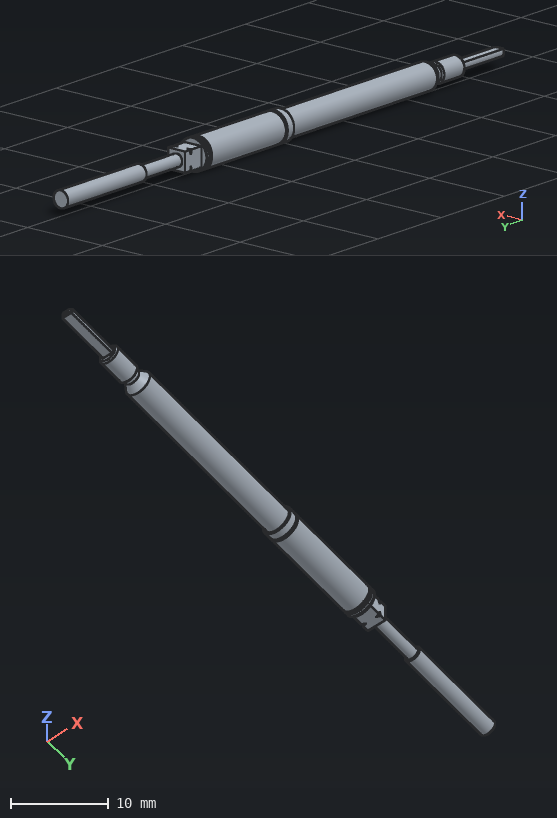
import cadquery as cq

PIN_END = 6.75
PLUNGER_END = 10.15
NECK_START = 10.3
NECK_END = 10.8
BARREL_START = 11.75
COLLAR_START = 34.7
COLLAR_END = 48.6
BLOCK_END = 51.15
WIRE_END = 57.05
TOTAL_LENGTH = 69.5

PIN_DIAMETER = 1.4
PIN_THICKNESS = 0.75
PLUNGER_DIAMETER = 2.35
NECK_DIAMETER = 1.9
BARREL_DIAMETER = 3.1
COLLAR_DIAMETER = 3.6
BLOCK_WIDTH = 2.3
WIRE_DIAMETER = 1.45
SLEEVE_DIAMETER = 1.95

PIN_CHAMFER = 0.15
PIN_CUP_DIAMETER = 0.4
PIN_CUP_DEPTH = 0.15
PLUNGER_CHAMFER = 0.2

RING_GROOVE_CENTER = 35.8
RING_GROOVE_WIDTH = 0.2
RING_GROOVE_DEPTH = 0.1
FLANGE_THICKNESS = 0.15
FLANGE_CONE_LENGTH = 0.35
FLANGE_CONE_DEPTH = 0.5
RIDGE_THICKNESS = 0.15
END_GROOVE_WIDTH = 0.3
END_GROOVE_DEPTH = 0.2

BLOCK_GROOVE_DIAMETER = 2.65
BLOCK_GROOVE_CENTER = 50.25
BLOCK_GROOVE_WIDTH = 1.0


def revolve(profile):
    """Turn (radius, y) points about the Y axis."""
    outline = [(y, radius) for radius, y in profile]
    return cq.Workplane("YZ").polyline(outline).close().revolve(360, (0, 0, 0), (1, 0, 0))


def rod(diameter, start, end):
    """Plain cylinder along Y."""
    radius = diameter / 2
    return revolve([(0, start), (radius, start), (radius, end), (0, end)])


def make_pin():
    """Round pin with a chamfered, cupped tip and two flats facing up and down."""
    pin = rod(PIN_DIAMETER, 0, PIN_END).faces("<Y").chamfer(PIN_CHAMFER)
    flats = cq.Workplane("XY").box(PIN_DIAMETER, 2 * PIN_END, PIN_THICKNESS)
    cup = revolve([(0, 0), (PIN_CUP_DIAMETER / 2, 0), (0, PIN_CUP_DEPTH)])
    return pin.intersect(flats).cut(cup)


def make_plunger_and_barrel():
    """Chamfered plunger, narrow neck, conical shoulder and long barrel."""
    plunger = PLUNGER_DIAMETER / 2
    neck = NECK_DIAMETER / 2
    barrel = BARREL_DIAMETER / 2
    return revolve([
        (0, PIN_END),
        (plunger - PLUNGER_CHAMFER, PIN_END),
        (plunger, PIN_END + PLUNGER_CHAMFER),
        (plunger, PLUNGER_END),
        (neck, NECK_START),
        (neck, NECK_END),
        (barrel, BARREL_START),
        (barrel, COLLAR_START),
        (0, COLLAR_START),
    ])


def make_collar():
    """Collar with a shallow ring groove, an end groove and an undercut flange."""
    outer = COLLAR_DIAMETER / 2
    ring_floor = outer - RING_GROOVE_DEPTH
    end_floor = outer - END_GROOVE_DEPTH
    ring_start = RING_GROOVE_CENTER - RING_GROOVE_WIDTH / 2
    ring_end = RING_GROOVE_CENTER + RING_GROOVE_WIDTH / 2
    flange_start = COLLAR_END - FLANGE_THICKNESS
    ridge_end = flange_start - FLANGE_CONE_LENGTH
    ridge_start = ridge_end - RIDGE_THICKNESS
    end_groove_start = ridge_start - END_GROOVE_WIDTH
    return revolve([
        (0, COLLAR_START),
        (outer, COLLAR_START),
        (outer, ring_start),
        (ring_floor, ring_start),
        (ring_floor, ring_end),
        (outer, ring_end),
        (outer, end_groove_start),
        (end_floor, end_groove_start),
        (end_floor, ridge_start),
        (outer, ridge_start),
        (outer, ridge_end),
        (outer - FLANGE_CONE_DEPTH, ridge_end),
        (outer, flange_start),
        (outer, COLLAR_END),
        (0, COLLAR_END),
    ])


def make_block():
    """Square block whose four corners are notched by a turned V groove."""
    block = (
        cq.Workplane("XY")
        .box(BLOCK_WIDTH, BLOCK_END - COLLAR_END, BLOCK_WIDTH, centered=(True, False, True))
        .translate((0, COLLAR_END, 0))
    )
    floor = BLOCK_GROOVE_DIAMETER / 2
    rim = BLOCK_WIDTH
    half_width = BLOCK_GROOVE_WIDTH / 2
    groove = revolve([
        (floor, BLOCK_GROOVE_CENTER),
        (rim, BLOCK_GROOVE_CENTER - half_width),
        (rim, BLOCK_GROOVE_CENTER + half_width),
    ])
    return block.cut(groove)


result = (
    make_pin()
    .union(make_plunger_and_barrel())
    .union(make_collar())
    .union(make_block())
    .union(rod(WIRE_DIAMETER, BLOCK_END, WIRE_END))
    .union(rod(SLEEVE_DIAMETER, WIRE_END, TOTAL_LENGTH))
)